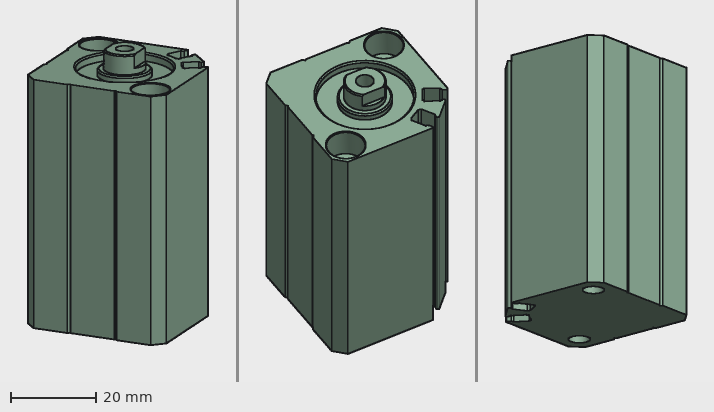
import cadquery as cq
import math


SIDE = 36.0
HALF = SIDE / 2
TOTAL_HEIGHT = 66.0
ROD_STICK_OUT = 4.5
HOUSING_HEIGHT = TOTAL_HEIGHT - ROD_STICK_OUT
CORNER_CHAMFER = 2.8
SENSOR_CORNER_CHAMFER = 9.3

PANEL_DEPTH = 0.25
GROOVE_DEPTH = 0.5
GROOVE_OUTER = 6.5
GROOVE_BOTTOM = GROOVE_OUTER - GROOVE_DEPTH
PANEL_HALF_WIDTH = GROOVE_BOTTOM - (GROOVE_DEPTH - PANEL_DEPTH)

SLOT_ANGLES = (30, 60)
SLOT_FLOOR = 13.45
SLOT_HALF_WIDTH = 2.25
SLOT_FLOOR_BEVEL = 0.5
SLOT_LIP_START = 17.7
SLOT_MOUTH_HALF_WIDTH = 1.7
SLOT_OUTER_END = 21.1
SLOT_LIP_END = SLOT_LIP_START + SLOT_HALF_WIDTH - SLOT_MOUTH_HALF_WIDTH
LIP_EDGE_RADIUS = 0.3
LIP_TIP_MIN_DISTANCE = 18.9

RECESS_RADIUS = 11.55
RECESS_DEPTH = 2.05
RECESS_CHAMFER = 0.4
BOSS_RADIUS = 6.5
BOSS_TOP_DEPTH = 0.4
BOSS_CHAMFER = 0.4

MOUNT_OFFSET = 12.7
MOUNT_POSITIONS = ((-MOUNT_OFFSET, MOUNT_OFFSET), (MOUNT_OFFSET, -MOUNT_OFFSET))
MOUNT_HOLE_RADIUS = 2.6
MOUNT_HOLE_CHAMFER = 0.2
COUNTERBORE_RADIUS = 4.55
COUNTERBORE_DEPTH = 7.0
COUNTERBORE_CHAMFER = 0.2

ROD_RADIUS = 5.0
ROD_SEAT_DEPTH = 16.5
ROD_BOTTOM = HOUSING_HEIGHT - ROD_SEAT_DEPTH
ROD_CHAMFER = 0.3
FLAT_HALF_WIDTH = 3.95
FLAT_HEIGHT = 3.4
ROD_HOLE_RADIUS = 2.1
ROD_HOLE_DEPTH = 10.0


def cylinder(radius, bottom, top, x=0, y=0):
    """Upright cylinder between two heights."""
    return cq.Workplane("XY", origin=(x, y, bottom)).circle(radius).extrude(top - bottom)


def chamfered_hole(radius, chamfer, bottom, top, x, y):
    """Cutter for an upright hole whose rim at the top is chamfered."""
    outline = [
        (0, bottom),
        (radius, bottom),
        (radius, top - chamfer),
        (radius + chamfer, top),
        (0, top),
    ]
    hole = cq.Workplane("XZ").polyline(outline).close().revolve(360, (0, 0), (0, 1))
    return hole.translate((x, y, 0))


def housing_block():
    """Square bar with small chamfers on three corners and a large one at +X +Y."""
    block = cq.Workplane("XY").rect(SIDE, SIDE).extrude(HOUSING_HEIGHT)
    block = block.edges("|Z and (<X or <Y)").chamfer(CORNER_CHAMFER)
    return block.edges("|Z and >(1, 1, 0)").chamfer(SENSOR_CORNER_CHAMFER)


def side_panel_cutter():
    """Cutter for the panel and its two V grooves on the -Y side."""
    half_outline = [
        (GROOVE_OUTER, 0),
        (GROOVE_BOTTOM, GROOVE_DEPTH),
        (PANEL_HALF_WIDTH, PANEL_DEPTH),
    ]
    mirrored = [(-x, depth) for x, depth in reversed(half_outline)]
    outline = [(x, depth - HALF) for x, depth in half_outline + mirrored]
    return cq.Workplane("XY").polyline(outline).close().extrude(HOUSING_HEIGHT)


def sensor_slot_cutter(angle):
    """Cutter for a slot with a narrow mouth, turned to point outward at the given angle."""
    half_outline = [
        (SLOT_FLOOR, SLOT_HALF_WIDTH - SLOT_FLOOR_BEVEL),
        (SLOT_FLOOR + SLOT_FLOOR_BEVEL, SLOT_HALF_WIDTH),
        (SLOT_LIP_START, SLOT_HALF_WIDTH),
        (SLOT_LIP_END, SLOT_MOUTH_HALF_WIDTH),
        (SLOT_OUTER_END, SLOT_MOUTH_HALF_WIDTH),
    ]
    mirrored = [(u, -v) for u, v in reversed(half_outline)]
    slot = cq.Workplane("XY").polyline(half_outline + mirrored).close().extrude(HOUSING_HEIGHT)
    return slot.rotate((0, 0, 0), (0, 0, 1), angle)


def is_lip_tip(edge):
    """Tell whether an upright edge is an outer tip of a sensor slot lip."""
    center = edge.Center()
    in_sensor_quadrant = center.x > 0 and center.y > 0
    return in_sensor_quadrant and math.hypot(center.x, center.y) > LIP_TIP_MIN_DISTANCE


def make_housing():
    housing = housing_block()

    panel = side_panel_cutter()
    housing = housing.cut(panel)
    housing = housing.cut(panel.rotate((0, 0, 0), (0, 0, 1), -90))

    for angle in SLOT_ANGLES:
        housing = housing.cut(sensor_slot_cutter(angle))
    housing = housing.edges("|Z").filter(is_lip_tip).fillet(LIP_EDGE_RADIUS)

    recess_floor = HOUSING_HEIGHT - RECESS_DEPTH
    boss_top = HOUSING_HEIGHT - BOSS_TOP_DEPTH
    housing = housing.cut(
        chamfered_hole(RECESS_RADIUS, RECESS_CHAMFER, recess_floor, HOUSING_HEIGHT, 0, 0)
    )
    boss = cylinder(BOSS_RADIUS, recess_floor, boss_top).faces(">Z").chamfer(BOSS_CHAMFER)
    housing = housing.union(boss)

    counterbore_floor = HOUSING_HEIGHT - COUNTERBORE_DEPTH
    for x, y in MOUNT_POSITIONS:
        housing = housing.cut(
            chamfered_hole(MOUNT_HOLE_RADIUS, MOUNT_HOLE_CHAMFER, 0, counterbore_floor, x, y)
        )
        housing = housing.cut(
            chamfered_hole(
                COUNTERBORE_RADIUS, COUNTERBORE_CHAMFER, counterbore_floor, HOUSING_HEIGHT, x, y
            )
        )

    return housing.cut(cylinder(ROD_RADIUS, ROD_BOTTOM, HOUSING_HEIGHT))


def make_rod():
    rod = cylinder(ROD_RADIUS, ROD_BOTTOM, TOTAL_HEIGHT).faces(">Z").chamfer(ROD_CHAMFER)

    flat_depth = ROD_RADIUS - FLAT_HALF_WIDTH
    flat_center = FLAT_HALF_WIDTH + flat_depth / 2
    flats = (
        cq.Workplane("XY", origin=(0, 0, TOTAL_HEIGHT - FLAT_HEIGHT))
        .pushPoints([(-flat_center, 0), (flat_center, 0)])
        .rect(flat_depth, 2 * ROD_RADIUS)
        .extrude(FLAT_HEIGHT)
    )
    rod = rod.cut(flats)

    return rod.cut(cylinder(ROD_HOLE_RADIUS, TOTAL_HEIGHT - ROD_HOLE_DEPTH, TOTAL_HEIGHT))


housing = make_housing()
rod = make_rod()
result = cq.Compound.makeCompound([housing.val(), rod.val()])